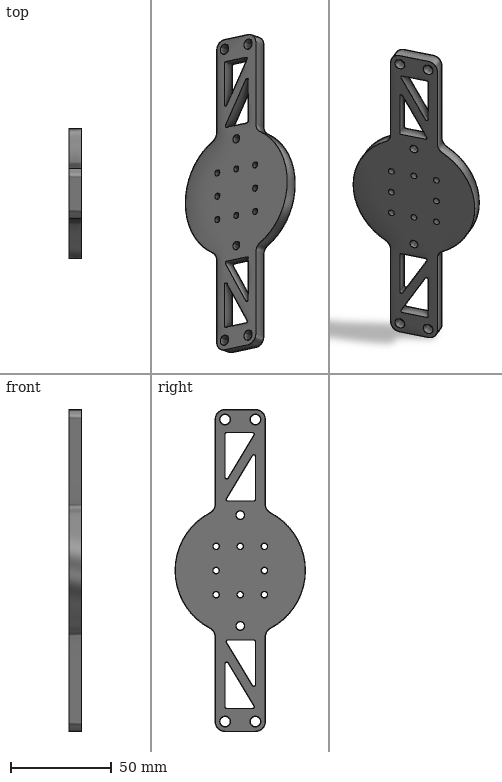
import cadquery as cq

thickness = 6.4
length = 160.0
disc_diameter = 64.8
arm_width = 25.0
arm_corner_radius = 5.0
neck_fillet_radius = 5.0

end_hole_diameter = 5.1
end_hole_spacing = 15.0
end_hole_inset = 5.0
pivot_hole_diameter = 4.2
pivot_hole_offset = 27.5
grid_hole_diameter = 3.0
grid_pitch = 12.0

window_half_width = end_hole_spacing / 2
window_top = 68.5
window_bottom = 34.5
window_leg = 25.0
window_corner_radius = 0.8


def plate_sketch():
    """Sketch plane with local x along +Y and local y along +Z, centred in the thickness."""
    return cq.Workplane("YZ")


def make_body():
    arms = (
        plate_sketch()
        .rect(arm_width, length)
        .extrude(thickness / 2, both=True)
        .edges("|X")
        .fillet(arm_corner_radius)
    )
    disc = plate_sketch().circle(disc_diameter / 2).extrude(thickness / 2, both=True)
    neck_box = cq.selectors.BoxSelector(
        (-thickness, -arm_width, -disc_diameter / 2),
        (thickness, arm_width, disc_diameter / 2),
    )
    necks = cq.selectors.AndSelector(neck_box, cq.selectors.ParallelDirSelector(cq.Vector(1, 0, 0)))
    return arms.union(disc).edges(necks).fillet(neck_fillet_radius)


def hole_cutter(points, diameter):
    return plate_sketch().pushPoints(points).circle(diameter / 2).extrude(thickness, both=True)


def window_cutter(corners):
    return (
        plate_sketch()
        .polyline(corners)
        .close()
        .extrude(thickness, both=True)
        .edges("|X")
        .fillet(window_corner_radius)
    )


result = make_body()

end_hole_z = length / 2 - end_hole_inset
end_holes = [(y, z) for y in (-end_hole_spacing / 2, end_hole_spacing / 2) for z in (-end_hole_z, end_hole_z)]
result = result.cut(hole_cutter(end_holes, end_hole_diameter))

result = result.cut(hole_cutter([(0, -pivot_hole_offset), (0, pivot_hole_offset)], pivot_hole_diameter))

grid_steps = (-grid_pitch, 0, grid_pitch)
grid_holes = [(y, z) for y in grid_steps for z in grid_steps if (y, z) != (0, 0)]
result = result.cut(hole_cutter(grid_holes, grid_hole_diameter))

for side in (1, -1):
    outer_window = [
        (window_half_width, side * window_top),
        (-window_half_width, side * window_top),
        (-window_half_width, side * (window_top - window_leg)),
    ]
    inner_window = [
        (-window_half_width, side * window_bottom),
        (window_half_width, side * window_bottom),
        (window_half_width, side * (window_bottom + window_leg)),
    ]
    result = result.cut(window_cutter(outer_window)).cut(window_cutter(inner_window))